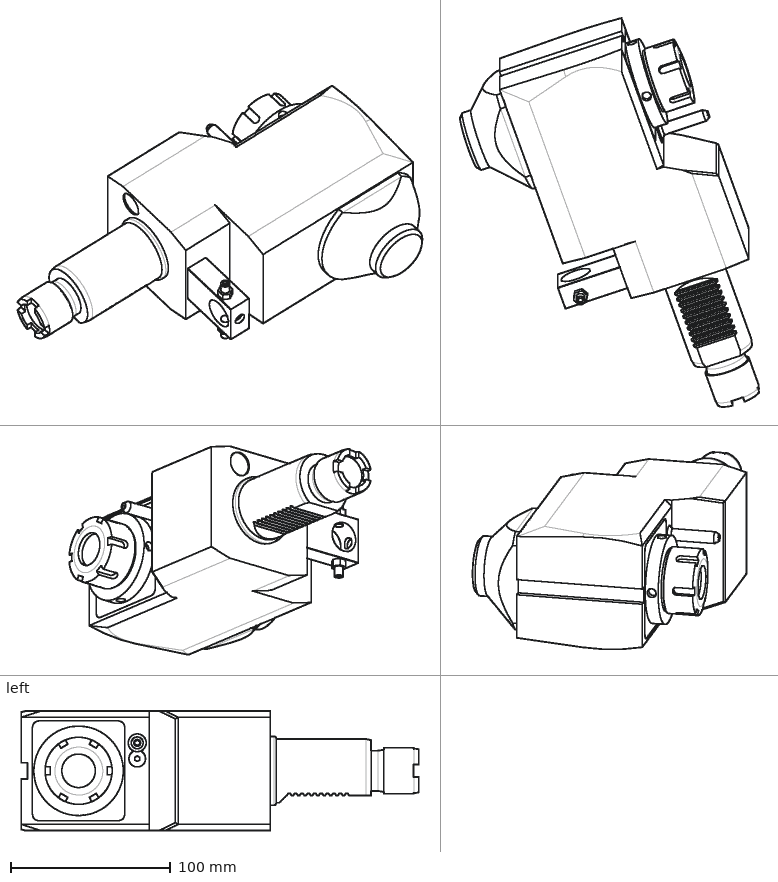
import cadquery as cq
import math


HALF_HEIGHT = 37.5
FLANGE_HALF_WIDTH = 39.0
REAR_LEFT_X = -8.8
REAR_RIGHT_X = 72.0
REAR_Y = 156.0
STEP_Y = 35.5
BEVEL_ANGLE = math.radians(15)
BEVEL_RUN = 15.0
BEVEL_DROP = BEVEL_RUN * math.tan(BEVEL_ANGLE)
LEFT_BEVEL_RUN = 4.4
SHOULDER_ANGLE = math.radians(29)
SHOULDER_TOP_Y = 75.7
SHOULDER_LOW_Y = SHOULDER_TOP_Y - (REAR_LEFT_X + FLANGE_HALF_WIDTH) * math.tan(SHOULDER_ANGLE)
SHOULDER_CHAMFER = 1.2
CROWN_X = 20.5
CROWN_DROP = 0.7
REAR_BEVEL_ANGLE = math.radians(13.6)
REAR_SLOT_HEIGHT = 10.0
REAR_SLOT_DEPTH = 4.0
SEAM = 0.1
PLUG_X = -15.8
PLUG_Z = 27.6
PLUG_RADIUS = 7.6
PLUG_RECESS = 1.0

SPINDLE_Y = 120.0
COVER_LENGTH = 57.7
COVER_HEIGHT = 62.4
COVER_CORNER = 4.0
COLLAR_RADIUS = 28.0
COLLAR_FACE_X = -17.2
COLLAR_HOLE_RADIUS = 2.8
COLLAR_HOLE_DEPTH = 4.0
COLLAR_HOLES = 4
NUT_RADIUS = 21.0
NUT_BACK_X = -18.8
NUT_RIM_X = -37.6
NOSE_X = -38.7
NUT_GAP_RADIUS = 20.0
NOSE_RADIUS = 15.0
BORE_RADIUS = 10.5
BORE_DEPTH = 3.0
NUT_SLOTS = 6
NUT_SLOT_WIDTH = 5.0
NUT_SLOT_END_X = -24.8
NUT_SLOT_DEPTH = 3.2

CAP_RADIUS = 40.2
CAP_RIM = 3.7
CAP_NECK_RADIUS = 18.9
CAP_NECK_LENGTH = 7.94
CAP_CHAMFER = 2.2
CAP_FLAT_Y = SPINDLE_Y + 31.0

SHANK_RADIUS = 20.0
SHANK_LENGTH = 63.0
SHANK_LEAD_LENGTH = 3.3
SHANK_LEAD = 0.7
FLANGE_RING_RADIUS = 21.6
FLANGE_RING_LENGTH = 2.2
FLANGE_RING_END = 3.8
NECK_RADIUS = 12.7
NECK_FLARE_RADIUS = 13.4
NECK_FLARE_Y = -67.2
COUPLING_Y = -71.0
COUPLING_RADIUS = 14.5
COUPLING_TIP_RADIUS = 14.0
COUPLING_END_Y = -93.0
DRIVE_DEPTH = 3.3
DRIVE_BORE_DEPTH = 5.0
DRIVE_BORE_RADIUS = 10.3
DRIVE_SLOT_WIDTH = 7.6
RACK_FLAT = 15.6
RACK_START_Y = -10.0
RACK_PITCH = 4.0
RACK_GROOVES = 10
RACK_FIRST_Y = -11.8
RACK_DEPTH = 1.4
RACK_FLOOR = 1.2
RACK_MOUTH = 3.0

ARM_END_X = 82.0
ARM_FRONT_Y = 1.5
ARM_REAR_Y = 16.2
ARM_HALF_HEIGHT = 14.6
ARM_HOLE_X = 70.2
ARM_HOLE_RADIUS = 9.5
ARM_SCREW_Y = 6.6
ARM_END_HOLE_RADIUS = 3.5
ARM_EDGE_CHAMFER = 0.25
ARM_SCREW_RADIUS = 2.75
ARM_SCREW_TOP = 25.0
ARM_SCREW_BOTTOM = 9.0
ARM_NUT_WIDTH = 8.0
ARM_NUT_HEIGHT = 4.4
SOCKET_WIDTH = 3.0
SOCKET_DEPTH = 2.0

PIN_Y = 83.3
PIN_Z = 17.5
PIN_RADIUS = 3.7
PIN_RIM_X = -38.4
PIN_TIP_X = -41.2
PIN_TIP_RADIUS = 2.1
PIN_BASE_RADIUS = 5.6
PIN_BASE_LENGTH = 2.2
BLANK_SCREW_Z = 7.6
BLANK_SCREW_RADIUS = 5.2

CONE_START_X = REAR_RIGHT_X + CAP_RIM
CONE_END_X = CONE_START_X + CAP_RADIUS - CAP_NECK_RADIUS
CAP_END_X = CONE_END_X + CAP_NECK_LENGTH


def cylinder(start, direction, radius, length):
    """Solid cylinder from a start point along a direction."""
    return cq.Workplane(cq.Solid.makeCylinder(radius, length, cq.Vector(*start), cq.Vector(*direction)))


def hexagon(start, direction, width, length):
    """Hexagonal prism from a start point along a direction, sized across flats."""
    plane = cq.Plane(origin=start, normal=direction)
    return cq.Workplane(plane).polygon(6, width / math.cos(math.pi / 6)).extrude(length)


def turned_about_x(profile, y, z):
    """Revolve (x, radius) points about a line parallel to X."""
    axis_plane = cq.Workplane("XY", origin=(0, y, z))
    return axis_plane.polyline(profile).close().revolve(360, (0, 0, 0), (1, 0, 0))


def bevelled_section(left, right, left_run, right_run, length):
    """Prism along Y whose top and bottom slope down towards both sides."""
    side = HALF_HEIGHT - BEVEL_DROP
    upper = [
        (left, side),
        (left + left_run, HALF_HEIGHT),
        (right - right_run, HALF_HEIGHT),
        (right, side),
    ]
    lower = [(x, -z) for x, z in reversed(upper)]
    return cq.Workplane("XZ").polyline(upper + lower).close().extrude(-length)


def make_flange_block():
    section = bevelled_section(-FLANGE_HALF_WIDTH, FLANGE_HALF_WIDTH, BEVEL_RUN, BEVEL_RUN, REAR_Y)
    left_bevel_end = REAR_LEFT_X + LEFT_BEVEL_RUN
    outline = [
        (-FLANGE_HALF_WIDTH, 0),
        (FLANGE_HALF_WIDTH, 0),
        (FLANGE_HALF_WIDTH, STEP_Y),
        (left_bevel_end, SHOULDER_TOP_Y),
        (REAR_LEFT_X, SHOULDER_TOP_Y),
        (-FLANGE_HALF_WIDTH, SHOULDER_LOW_Y),
    ]
    plan = cq.Workplane("XY").polyline(outline).close().extrude(HALF_HEIGHT, both=True)
    block = section.intersect(plan)
    bevel_middle_x = BEVEL_RUN / 2 - FLANGE_HALF_WIDTH
    bevel_middle_y = SHOULDER_LOW_Y + BEVEL_RUN / 2 * math.tan(SHOULDER_ANGLE)
    bevel_middle_z = HALF_HEIGHT - BEVEL_DROP / 2
    shoulder_edges = cq.selectors.NearestToPointSelector((-FLANGE_HALF_WIDTH, SHOULDER_LOW_Y, 0))
    for z in (bevel_middle_z, -bevel_middle_z):
        shoulder_edges += cq.selectors.NearestToPointSelector((bevel_middle_x, bevel_middle_y, z))
    return block.edges(shoulder_edges).chamfer(SHOULDER_CHAMFER)


def rear_bevel_cutter():
    """Material above a crowned edge that slopes up forwards from the rear face.

    The edge is an arc from the left corner over the crown, then a tangent line to the right corner.
    """
    corner_z = HALF_HEIGHT - BEVEL_DROP
    crown_z = HALF_HEIGHT - CROWN_DROP
    half_chord = CROWN_X - REAR_LEFT_X
    sagitta = crown_z - corner_z
    radius = (half_chord**2 + sagitta**2) / (2 * sagitta)
    centre_z = crown_z - radius
    corner_x_offset = REAR_RIGHT_X - CROWN_X
    corner_z_offset = corner_z - centre_z
    corner_distance = math.hypot(corner_x_offset, corner_z_offset)
    tangent_angle = math.atan2(corner_z_offset, corner_x_offset) + math.acos(radius / corner_distance)
    tangent_point = (
        CROWN_X + radius * math.cos(tangent_angle),
        centre_z + radius * math.sin(tangent_angle),
    )
    reach = 2 * BEVEL_RUN
    rise = reach * math.tan(REAR_BEVEL_ANGLE)
    ceiling = HALF_HEIGHT + rise

    def section(y, lift):
        return (
            cq.Workplane("XZ", origin=(0, y, lift))
            .moveTo(REAR_LEFT_X, corner_z)
            .threePointArc((CROWN_X, crown_z), tangent_point)
            .lineTo(REAR_RIGHT_X, corner_z)
            .lineTo(REAR_RIGHT_X, ceiling)
            .lineTo(REAR_LEFT_X, ceiling)
            .close()
            .wires()
            .val()
        )

    wires = [section(REAR_Y, 0), section(REAR_Y - reach, rise)]
    return cq.Workplane(cq.Solid.makeLoft(wires, True))


def make_rear_block():
    block = bevelled_section(REAR_LEFT_X, REAR_RIGHT_X, LEFT_BEVEL_RUN, BEVEL_RUN, REAR_Y)
    front_waste = cq.Workplane("XY").box(4 * REAR_Y, 2 * STEP_Y, 4 * HALF_HEIGHT)
    cutter = rear_bevel_cutter()
    slot = cq.Workplane("XY", origin=(0, REAR_Y, 0)).box(4 * REAR_Y, 2 * REAR_SLOT_DEPTH, REAR_SLOT_HEIGHT)
    return block.cut(front_waste).cut(cutter).cut(cutter.mirror("XY")).cut(slot)


def make_cover():
    return (
        cq.Workplane("YZ", origin=(REAR_LEFT_X - SEAM, SPINDLE_Y, 0))
        .rect(COVER_LENGTH, COVER_HEIGHT)
        .extrude(2 * SEAM)
        .edges("|X")
        .fillet(COVER_CORNER)
    )


def make_spindle():
    profile = [
        (REAR_LEFT_X, 0),
        (REAR_LEFT_X, COLLAR_RADIUS),
        (COLLAR_FACE_X, COLLAR_RADIUS),
        (COLLAR_FACE_X, NUT_GAP_RADIUS),
        (NUT_BACK_X, NUT_GAP_RADIUS),
        (NUT_BACK_X, NUT_RADIUS),
        (NUT_RIM_X, NUT_RADIUS),
        (NOSE_X, NOSE_RADIUS),
        (NOSE_X, BORE_RADIUS),
        (NOSE_X + BORE_DEPTH, BORE_RADIUS),
        (NOSE_X + BORE_DEPTH, 0),
    ]
    spindle = turned_about_x(profile, SPINDLE_Y, 0)

    axis_start = (0, SPINDLE_Y, 0)
    axis_end = (1, SPINDLE_Y, 0)
    slot_floor = NUT_RADIUS - NUT_SLOT_DEPTH
    slot_centre_x = NUT_SLOT_END_X - NUT_SLOT_WIDTH / 2
    slot_length = slot_centre_x - NOSE_X
    slot_plane = cq.Workplane("XY", origin=(NOSE_X, SPINDLE_Y, slot_floor))
    slot_outline = slot_plane.center(slot_length / 2, 0).rect(slot_length, NUT_SLOT_WIDTH)
    slot = slot_outline.extrude(2 * NUT_SLOT_DEPTH)
    slot_end = (slot_centre_x, SPINDLE_Y, slot_floor)
    slot = slot.union(cylinder(slot_end, (0, 0, 1), NUT_SLOT_WIDTH / 2, 2 * NUT_SLOT_DEPTH))
    for index in range(NUT_SLOTS):
        angle = 90 + index * 360 / NUT_SLOTS
        spindle = spindle.cut(slot.rotate(axis_start, axis_end, angle))

    hole_start = ((COLLAR_FACE_X + REAR_LEFT_X) / 2, SPINDLE_Y, COLLAR_RADIUS - COLLAR_HOLE_DEPTH)
    hole = cylinder(hole_start, (0, 0, 1), COLLAR_HOLE_RADIUS, 2 * COLLAR_HOLE_DEPTH)
    for index in range(COLLAR_HOLES):
        angle = index * 360 / COLLAR_HOLES
        spindle = spindle.cut(hole.rotate(axis_start, axis_end, angle))
    return spindle


def make_cap():
    profile = [
        (REAR_RIGHT_X, 0),
        (REAR_RIGHT_X, CAP_RADIUS),
        (CONE_START_X, CAP_RADIUS),
        (CONE_END_X, CAP_NECK_RADIUS),
        (CAP_END_X - CAP_CHAMFER, CAP_NECK_RADIUS),
        (CAP_END_X, CAP_NECK_RADIUS - CAP_CHAMFER),
        (CAP_END_X, 0),
    ]
    cap = turned_about_x(profile, SPINDLE_Y, 0)

    slope = math.tan(BEVEL_ANGLE)
    rim_z = HALF_HEIGHT - BEVEL_DROP - CAP_RIM * slope
    end_z = rim_z - (CAP_END_X - CONE_START_X) * slope
    upper = [(REAR_RIGHT_X, rim_z), (CONE_START_X, rim_z), (CAP_END_X, end_z)]
    lower = [(x, -z) for x, z in reversed(upper)]
    envelope = (
        cq.Workplane("XZ", origin=(0, CAP_FLAT_Y, 0))
        .polyline(upper + lower)
        .close()
        .extrude(CAP_FLAT_Y)
    )
    return cap.intersect(envelope)


def make_shank():
    shank = (
        cq.Workplane("XY")
        .lineTo(FLANGE_RING_RADIUS, 0)
        .lineTo(FLANGE_RING_RADIUS, -FLANGE_RING_LENGTH)
        .tangentArcPoint((SHANK_RADIUS, -FLANGE_RING_END), relative=False)
        .lineTo(SHANK_RADIUS, SHANK_LEAD_LENGTH - SHANK_LENGTH)
        .lineTo(SHANK_RADIUS - SHANK_LEAD, -SHANK_LENGTH)
        .lineTo(NECK_RADIUS, -SHANK_LENGTH)
        .lineTo(NECK_RADIUS, NECK_FLARE_Y)
        .lineTo(NECK_FLARE_RADIUS, COUPLING_Y)
        .lineTo(COUPLING_RADIUS, COUPLING_Y)
        .lineTo(COUPLING_RADIUS, COUPLING_END_Y + DRIVE_DEPTH)
        .tangentArcPoint((COUPLING_TIP_RADIUS, COUPLING_END_Y), relative=False)
        .lineTo(0, COUPLING_END_Y)
        .close()
        .revolve(360, (0, 0, 0), (0, 1, 0))
    )

    drive_start = (0, COUPLING_END_Y, 0)
    shank = shank.cut(cylinder(drive_start, (0, 1, 0), DRIVE_BORE_RADIUS, DRIVE_BORE_DEPTH))
    slot_plane = cq.Workplane("XY", origin=drive_start)
    for length_x, length_z in (
        (4 * COUPLING_RADIUS, DRIVE_SLOT_WIDTH),
        (DRIVE_SLOT_WIDTH, 4 * COUPLING_RADIUS),
    ):
        shank = shank.cut(slot_plane.box(length_x, 2 * DRIVE_DEPTH, length_z))
    return shank.cut(rack_cutter())


def rack_cutter():
    """Flat with a 45 degree run-in plus the grooves that leave the rack teeth."""
    run_in = SHANK_RADIUS - RACK_FLAT
    outline = [
        (RACK_START_Y, -RACK_FLAT),
        (-SHANK_LENGTH, -RACK_FLAT),
        (-SHANK_LENGTH, -SHANK_RADIUS),
        (RACK_START_Y + run_in, -SHANK_RADIUS),
    ]
    cutter = cq.Workplane("YZ").polyline(outline).close().extrude(SHANK_RADIUS, both=True)
    for index in range(RACK_GROOVES):
        groove_y = RACK_FIRST_Y - index * RACK_PITCH
        groove = [
            (groove_y - RACK_MOUTH / 2, -RACK_FLAT),
            (groove_y - RACK_FLOOR / 2, RACK_DEPTH - RACK_FLAT),
            (groove_y + RACK_FLOOR / 2, RACK_DEPTH - RACK_FLAT),
            (groove_y + RACK_MOUTH / 2, -RACK_FLAT),
        ]
        cutter = cutter.union(cq.Workplane("YZ").polyline(groove).close().extrude(SHANK_RADIUS, both=True))
    return cutter


def make_arm():
    length_x = ARM_END_X - FLANGE_HALF_WIDTH
    middle_x = (ARM_END_X + FLANGE_HALF_WIDTH) / 2
    middle_y = (ARM_REAR_Y + ARM_FRONT_Y) / 2
    arm_plane = cq.Workplane("XY", origin=(middle_x, middle_y, 0))
    arm = arm_plane.box(length_x, ARM_REAR_Y - ARM_FRONT_Y, 2 * ARM_HALF_HEIGHT)
    arm = arm.edges("|X").chamfer(ARM_EDGE_CHAMFER)
    arm = arm.cut(cylinder((ARM_HOLE_X, middle_y, 0), (1, 0, 0), ARM_END_HOLE_RADIUS, ARM_END_X))
    arm = arm.cut(cylinder((ARM_HOLE_X, 0, 0), (0, 1, 0), ARM_HOLE_RADIUS, 2 * ARM_REAR_Y))
    for side in (1, -1):
        outward = (0, 0, side)
        nut_start = (ARM_HOLE_X, ARM_SCREW_Y, side * ARM_HALF_HEIGHT)
        nut = hexagon(nut_start, outward, ARM_NUT_WIDTH, ARM_NUT_HEIGHT)
        screw_start = (ARM_HOLE_X, ARM_SCREW_Y, side * ARM_SCREW_BOTTOM)
        screw = cylinder(screw_start, outward, ARM_SCREW_RADIUS, ARM_SCREW_TOP - ARM_SCREW_BOTTOM)
        socket_start = (ARM_HOLE_X, ARM_SCREW_Y, side * (ARM_SCREW_TOP - SOCKET_DEPTH))
        socket = hexagon(socket_start, outward, SOCKET_WIDTH, SOCKET_DEPTH)
        arm = arm.union(nut).union(screw).cut(socket)
    return arm


def make_stop_pin():
    profile = [
        (REAR_LEFT_X, 0),
        (REAR_LEFT_X, PIN_BASE_RADIUS),
        (REAR_LEFT_X - PIN_BASE_LENGTH, PIN_RADIUS),
        (PIN_RIM_X, PIN_RADIUS),
        (PIN_TIP_X, PIN_TIP_RADIUS),
        (PIN_TIP_X, 0),
    ]
    pin = turned_about_x(profile, PIN_Y, PIN_Z)
    return pin.cut(hexagon((PIN_TIP_X, PIN_Y, PIN_Z), (1, 0, 0), SOCKET_WIDTH, SOCKET_DEPTH))


def make_blank_screw():
    start = (REAR_LEFT_X - SEAM, PIN_Y, BLANK_SCREW_Z)
    return cylinder(start, (1, 0, 0), BLANK_SCREW_RADIUS, 2 * SEAM)


result = make_flange_block().union(make_rear_block())
for feature in (
    make_cover(),
    make_spindle(),
    make_cap(),
    make_shank(),
    make_arm(),
    make_stop_pin(),
    make_blank_screw(),
):
    result = result.union(feature)

blank_socket_start = (REAR_LEFT_X - SEAM, PIN_Y, BLANK_SCREW_Z)
result = result.cut(hexagon(blank_socket_start, (1, 0, 0), SOCKET_WIDTH, SOCKET_DEPTH))
result = result.cut(cylinder((PLUG_X, 0, PLUG_Z), (0, 1, 0), PLUG_RADIUS, PLUG_RECESS))